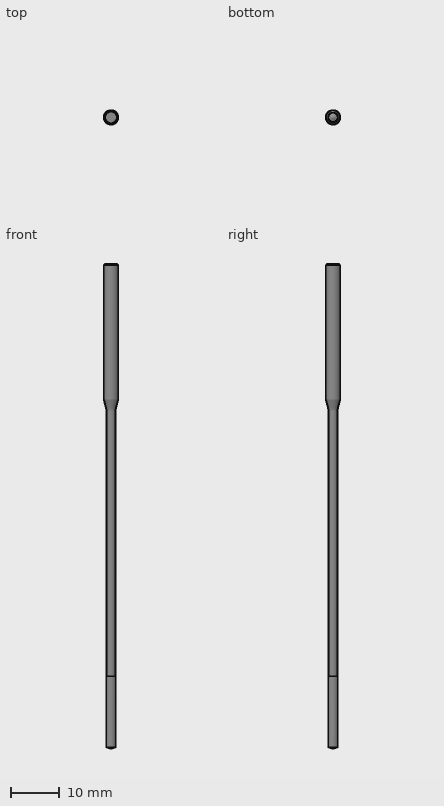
import cadquery as cq
import math

total_length = 100.0
shank_diameter = 3.0
shank_length = 28.0
shank_chamfer = 0.3
neck_diameter = 1.9
taper_half_angle = math.radians(15)
taper_blend_radius = 2.0
head_diameter = 2.0
head_length = 15.0
point_angle = 140.0

shank_radius = shank_diameter / 2
neck_radius = neck_diameter / 2
head_radius = head_diameter / 2

point_height = head_radius / math.tan(math.radians(point_angle / 2))

taper_top = total_length - shank_length
taper_length = (shank_radius - neck_radius) / math.tan(taper_half_angle)
taper_bottom = taper_top - taper_length
blend_reach = taper_blend_radius * math.tan(taper_half_angle / 2)
blend_bottom = taper_bottom - blend_reach
blend_top = taper_bottom + blend_reach * math.cos(taper_half_angle)
blend_top_radius = neck_radius + blend_reach * math.sin(taper_half_angle)


def revolve_about_z(profile):
    """Turn a closed half profile, drawn as (radius, height), about the Z axis."""
    return profile.revolve(360, (0, 0, 0), (0, 1, 0))


def make_cutting_head():
    """Cylindrical cutting head with a shallow conical point."""
    profile = (
        cq.Workplane("XZ")
        .lineTo(head_radius, point_height)
        .lineTo(head_radius, head_length)
        .lineTo(0, head_length)
        .close()
    )
    return revolve_about_z(profile)


def make_shank():
    """Slender neck on the cutting head, widening through a taper to the chamfered shank."""
    profile = (
        cq.Workplane("XZ")
        .moveTo(0, head_length)
        .lineTo(neck_radius, head_length)
        .lineTo(neck_radius, blend_bottom)
        .tangentArcPoint((blend_top_radius, blend_top), relative=False)
        .lineTo(shank_radius, taper_top)
        .lineTo(shank_radius, total_length - shank_chamfer)
        .lineTo(shank_radius - shank_chamfer, total_length)
        .lineTo(0, total_length)
        .close()
    )
    return revolve_about_z(profile)


cutting_head = make_cutting_head()
shank = make_shank()

result = cq.Compound.makeCompound([cutting_head.val(), shank.val()])